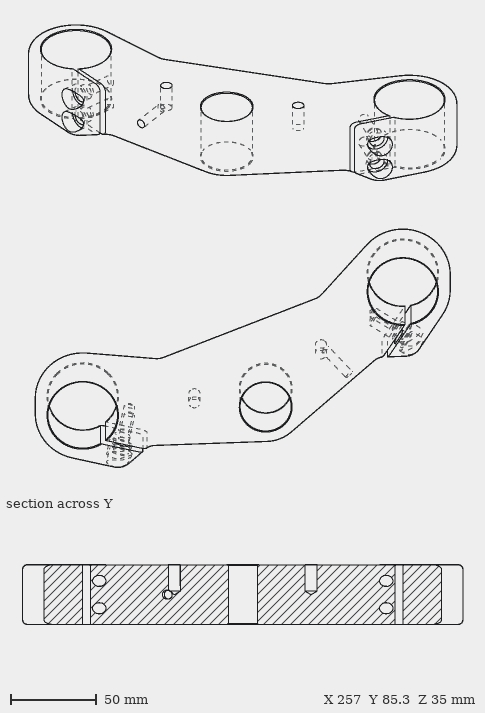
import cadquery as cq
import math

THICKNESS = 35.0
RIM_FILLET = 3.0

LENGTH = 257.0
FORK_OUTER_R = 27.8
FORK_BORE_R = 20.3
BORE_CHAMFER = 0.5
FORK_X = LENGTH / 2 - FORK_OUTER_R

STEM_Y = -35.5
STEM_OUTER_R = 22.0
STEM_BORE_R = 15.0

BACK_Y = 5.5
BACK_FLANK_ANGLE = 27.0
FRONT_ANGLE = 20.0
CLAMP_ANGLE = 35.0
NOTCH_X = 72.0
NOTCH_R = 7.7
HEEL_R = 10.0
BACK_CORNER_R = 10.0

SLOT_WIDTH = 2.5
TAB_THICKNESS = 13.0
SLOT_LENGTH = 64.2
SCREW_OFFSET = 27.2
SCREW_Z = 8.0
SCREW_HEAD_R = 6.7
SCREW_HEAD_DEPTH = 8.0
SCREW_CLEARANCE_R = 4.5
SCREW_TAP_R = 3.0
SCREW_TAP_DEPTH = 15.5

TOP_HOLE_X = 39.8
TOP_HOLE_Y = -23.0
TOP_HOLE_R = 3.3
TOP_HOLE_DEPTH = 15.5
FRONT_HOLE_X = -50.4
FRONT_HOLE_R = 2.5
FRONT_HOLE_DEPTH = 20.5
DRILL_TIP_ANGLE = 118.0


def unit(degrees):
    """Unit vector at an angle from +X in the plane of the plate."""
    angle = math.radians(degrees)
    return cq.Vector(math.cos(angle), math.sin(angle), 0)


def crossing(point_a, normal_a, point_b, normal_b):
    """Meeting point of two lines, each given by a point and its normal."""
    offset_a = point_a.dot(normal_a)
    offset_b = point_b.dot(normal_b)
    det = normal_a.x * normal_b.y - normal_a.y * normal_b.x
    x = (offset_a * normal_b.y - offset_b * normal_a.y) / det
    y = (normal_a.x * offset_b - normal_b.x * offset_a) / det
    return cq.Vector(x, y, 0)


FLANK_NORMAL = unit(90 - BACK_FLANK_ANGLE)
TAB_NORMAL = unit(270 - CLAMP_ANGLE)
TAB_END_NORMAL = unit(270 + FRONT_ANGLE)
FRONT_NORMAL = unit(270 - FRONT_ANGLE)
BACK_NORMAL = unit(90)
SIDE_NORMAL = unit(180)

FORK = cq.Vector(-FORK_X, 0, 0)
STEM = cq.Vector(0, STEM_Y, 0)
flank_tangent = FORK + FLANK_NORMAL * FORK_OUTER_R
tab_tangent = FORK + TAB_NORMAL * FORK_OUTER_R
stem_tangent = STEM + FRONT_NORMAL * STEM_OUTER_R
back_corner = crossing(cq.Vector(0, BACK_Y, 0), BACK_NORMAL, flank_tangent, FLANK_NORMAL)
notch = crossing(cq.Vector(-NOTCH_X, 0, 0), SIDE_NORMAL, stem_tangent, FRONT_NORMAL)
heel = crossing(tab_tangent, TAB_NORMAL, notch, TAB_END_NORMAL)


def mirrored(point):
    """Matching point on the right half."""
    return cq.Vector(-point.x, point.y, point.z)


def round_corner(body, corner, radius):
    """Round the upright edges at a corner and at its mirror image."""
    for point in (corner, mirrored(corner)):
        edge = cq.selectors.NearestToPointSelector((point.x, point.y, 0))
        body = body.edges("|Z").edges(edge).fillet(radius)
    return body


def plate():
    """Solid plate with rounded corners and rims, before any holes."""
    outline = (
        cq.Workplane("XY", origin=(0, 0, -THICKNESS / 2))
        .moveTo(back_corner.x, back_corner.y)
        .lineTo(flank_tangent.x, flank_tangent.y)
        .threePointArc((-LENGTH / 2, 0), tab_tangent.toTuple()[:2])
        .lineTo(heel.x, heel.y)
        .lineTo(notch.x, notch.y)
        .lineTo(stem_tangent.x, stem_tangent.y)
        .threePointArc((0, STEM_Y - STEM_OUTER_R), mirrored(stem_tangent).toTuple()[:2])
        .lineTo(-notch.x, notch.y)
        .lineTo(-heel.x, heel.y)
        .lineTo(-tab_tangent.x, tab_tangent.y)
        .threePointArc((LENGTH / 2, 0), mirrored(flank_tangent).toTuple()[:2])
        .lineTo(-back_corner.x, back_corner.y)
        .close()
    )
    body = outline.extrude(THICKNESS)
    body = round_corner(body, back_corner, BACK_CORNER_R)
    body = round_corner(body, heel, HEEL_R)
    body = round_corner(body, notch, NOTCH_R)
    return body.faces("<Z or >Z").edges().fillet(RIM_FILLET)


def bore(centre, radius):
    """Through bore that widens into a small chamfer at each face."""
    half = THICKNESS / 2
    mouth = radius + BORE_CHAMFER
    profile = (
        cq.Workplane("XZ")
        .polyline([
            (0, -half),
            (mouth, -half),
            (radius, BORE_CHAMFER - half),
            (radius, half - BORE_CHAMFER),
            (mouth, half),
            (0, half),
        ])
        .close()
    )
    return profile.revolve(360, (0, 0, 0), (0, 1, 0)).translate(centre)


def drilled_hole(start, direction, radius, depth):
    """Blind hole with a conical drill tip beyond its full-width depth."""
    tip = radius / math.tan(math.radians(DRILL_TIP_ANGLE / 2))
    shaft = cq.Solid.makeCylinder(radius, depth, start, direction)
    cone = cq.Solid.makeCone(radius, 0, tip, start + direction * depth, direction)
    return cq.Workplane(shaft.fuse(cone))


def clamp_cut():
    """Slot and screw holes of the left fork clamp."""
    inward = TAB_NORMAL * -1
    along_tab = unit(-CLAMP_ANGLE)
    slot_centre = FORK_OUTER_R - TAB_THICKNESS - SLOT_WIDTH / 2
    slot_plane = cq.Plane(origin=FORK + TAB_NORMAL * slot_centre, xDir=along_tab, normal=(0, 0, 1))
    cut = (
        cq.Workplane(slot_plane)
        .center(SLOT_LENGTH / 2, 0)
        .box(SLOT_LENGTH, SLOT_WIDTH, THICKNESS)
    )
    past_slot = TAB_THICKNESS + SLOT_WIDTH
    steps = (
        (SCREW_HEAD_R, SCREW_HEAD_DEPTH),
        (SCREW_CLEARANCE_R, past_slot),
    )
    for z in (-SCREW_Z, SCREW_Z):
        seat = tab_tangent + along_tab * SCREW_OFFSET + cq.Vector(0, 0, z)
        for radius, depth in steps:
            cut = cut.add(cq.Solid.makeCylinder(radius, depth, seat, inward))
        cut = cut.add(drilled_hole(seat, inward, SCREW_TAP_R, past_slot + SCREW_TAP_DEPTH))
    return cut.combine()


result = plate()

for centre, radius in ((FORK, FORK_BORE_R), (mirrored(FORK), FORK_BORE_R), (STEM, STEM_BORE_R)):
    result = result.cut(bore(centre, radius))

left_clamp = clamp_cut()
result = result.cut(left_clamp).cut(left_clamp.mirror("YZ"))

for x in (-TOP_HOLE_X, TOP_HOLE_X):
    top = cq.Vector(x, TOP_HOLE_Y, THICKNESS / 2)
    result = result.cut(drilled_hole(top, cq.Vector(0, 0, -1), TOP_HOLE_R, TOP_HOLE_DEPTH))

front_start = crossing(cq.Vector(FRONT_HOLE_X, 0, 0), SIDE_NORMAL, stem_tangent, FRONT_NORMAL)
result = result.cut(drilled_hole(front_start, FRONT_NORMAL * -1, FRONT_HOLE_R, FRONT_HOLE_DEPTH))